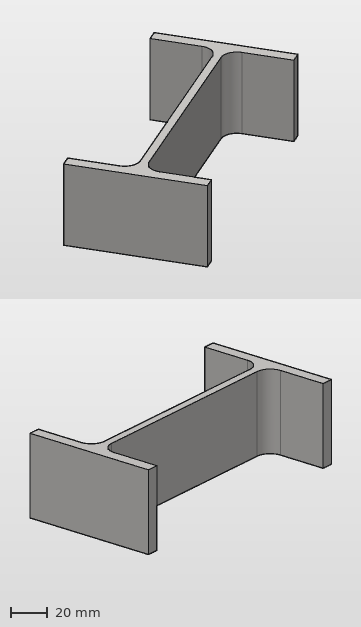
import cadquery as cq

section_depth = 160.0
flange_width = 82.0
length = 50.0
flange_thickness = 7.4
web_thickness = 5.0
root_radius = 9.0

web_depth = section_depth - 2 * flange_thickness
flange_offset = (section_depth - flange_thickness) / 2

beam = cq.Workplane("XY").rect(web_thickness, web_depth).extrude(length)
for side in (-1, 1):
    flange = (
        cq.Workplane("XY")
        .center(0, side * flange_offset)
        .rect(flange_width, flange_thickness)
        .extrude(length)
    )
    beam = beam.union(flange)

root_zone = cq.selectors.BoxSelector(
    (-web_thickness, -section_depth, -length),
    (web_thickness, section_depth, 2 * length),
)
result = beam.edges("|Z").edges(root_zone).fillet(root_radius)